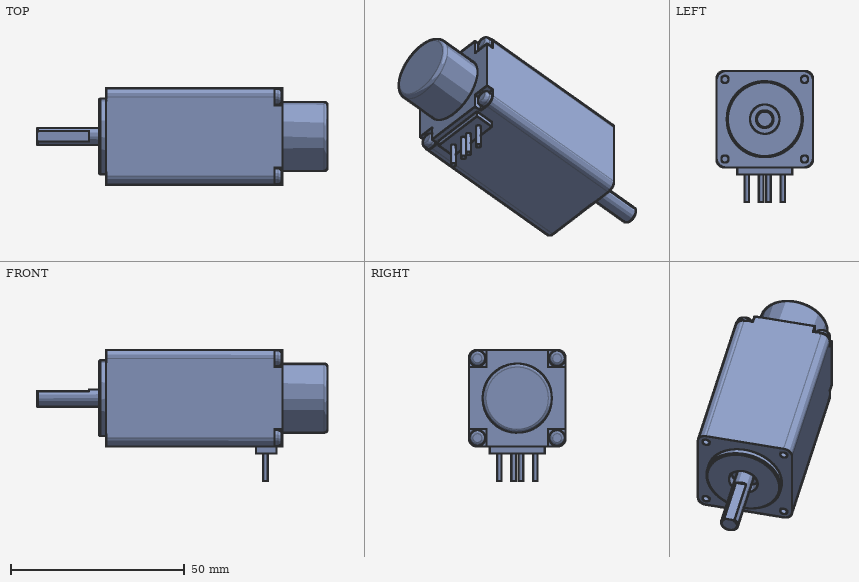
import cadquery as cq


pilot_front = 18.0
body_front = 20.0
body_back = 71.0
total_length = 84.0

body_width = 28.0
body_corner_radius = 2.5
pilot_diameter = 22.0
pilot_chamfer = 0.3
encoder_diameter = 20.0
encoder_fillet = 1.0

shaft_diameter = 5.0
shaft_chamfer = 0.25
flat_length = 15.0
flat_depth = 0.5
recess_diameter = 8.5
recess_depth = 3.0

screw_spacing = 23.0
hole_diameter = 2.1
hole_depth = 4.0
notch_width = 5.0
notch_depth = 2.3
head_diameter = 4.5
head_height = 2.0
head_fillet = 1.0

connector_length = 6.0
connector_width = 16.0
connector_height = 2.0
connector_x = 66.3
pin_diameter = 1.4
pin_length = 8.0
pin_x = 66.0
inner_pin_offset = 1.05
outer_pin_offset = 5.2


def axial_cylinder(diameter, start, end):
    """Cylinder on the shaft axis between two X stations."""
    return cq.Workplane("YZ", origin=(start, 0, 0)).circle(diameter / 2).extrude(end - start)


def make_body():
    length = body_back - body_front
    body = (
        cq.Workplane("YZ", origin=(body_front, 0, 0))
        .rect(body_width, body_width)
        .extrude(length)
        .edges("|X")
        .fillet(body_corner_radius)
    )
    pilot = axial_cylinder(pilot_diameter, pilot_front, body_front).faces("<X").chamfer(pilot_chamfer)
    encoder = axial_cylinder(encoder_diameter, body_back, total_length).faces(">X").fillet(encoder_fillet)
    return body.union(pilot).union(encoder)


def make_shaft():
    """Shaft with a flat on its upper side, reaching down to the recess floor."""
    shaft = axial_cylinder(shaft_diameter, 0, pilot_front + recess_depth).faces("<X").chamfer(shaft_chamfer)
    flat = (
        cq.Workplane("XY", origin=(0, 0, shaft_diameter / 2 - flat_depth))
        .rect(2 * flat_length, shaft_diameter)
        .extrude(flat_depth)
    )
    return shaft.cut(flat)


def at_screws(station):
    """Workplane normal to X with a point on each of the four screw axes."""
    return (
        cq.Workplane("YZ", origin=(station, 0, 0))
        .rect(screw_spacing, screw_spacing, forConstruction=True)
        .vertices()
    )


def make_corner_notches():
    notch_floor = body_back - notch_depth
    notch_spacing = body_width - notch_width
    return (
        cq.Workplane("YZ", origin=(notch_floor, 0, 0))
        .rect(notch_spacing, notch_spacing, forConstruction=True)
        .vertices()
        .rect(notch_width, notch_width)
        .extrude(notch_depth)
    )


def make_screw_heads():
    heads = at_screws(body_back - notch_depth).circle(head_diameter / 2).extrude(head_height)
    return heads.faces(">X").edges().fillet(head_fillet)


def make_connector():
    body_bottom = -body_width / 2
    connector_bottom = body_bottom - connector_height
    block = (
        cq.Workplane("XY", origin=(connector_x, 0, connector_bottom))
        .rect(connector_length, connector_width)
        .extrude(connector_height)
    )
    pin_offsets = (-outer_pin_offset, -inner_pin_offset, inner_pin_offset, outer_pin_offset)
    pins = (
        cq.Workplane("XY", origin=(pin_x, 0, connector_bottom))
        .pushPoints([(0, offset) for offset in pin_offsets])
        .circle(pin_diameter / 2)
        .extrude(-pin_length)
    )
    return block.union(pins)


recess = axial_cylinder(recess_diameter, pilot_front, pilot_front + recess_depth)
mounting_holes = at_screws(body_front).circle(hole_diameter / 2).extrude(hole_depth)

result = (
    make_body()
    .cut(recess)
    .cut(mounting_holes)
    .cut(make_corner_notches())
    .union(make_screw_heads())
    .union(make_shaft())
    .union(make_connector())
)